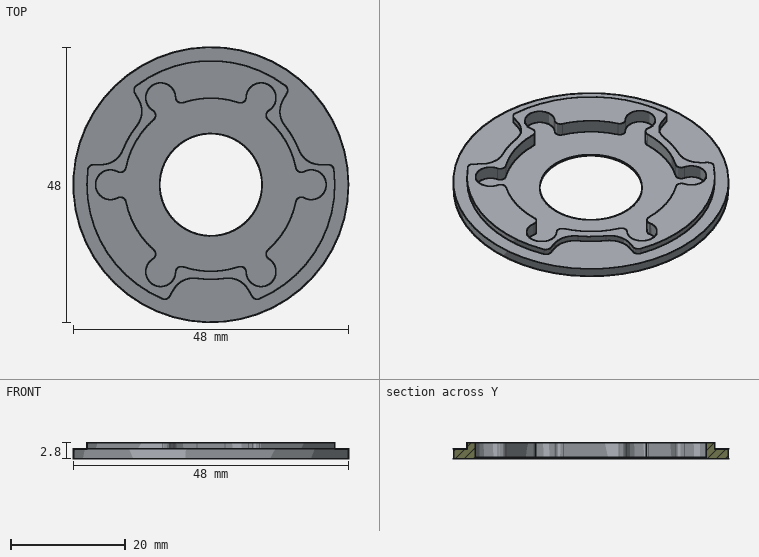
import cadquery as cq
import math

total_height = 2.8
rim_step = 1.1
base_height = total_height - rim_step
floor_thickness = 0.3
pocket_depth = total_height - floor_thickness

base_diameter = 48.0
base_radius = base_diameter / 2
bore_diameter = 17.8
bore_radius = bore_diameter / 2
plateau_radius = 21.6
pocket_radius = 15.1

lobe_count = 6
lobe_pitch = 360.0 / lobe_count
lobe_radius = 2.6
lobe_centre_radius = 17.5
neck_fillet = 1.0

recess_angles = (30.0, 150.0, 270.0)
recess_inner_radius = 16.5
recess_side_offset = 3.5
recess_corner_fillet = 4.0
plateau_tip_fillet = 1.0


def upright_edges_at(body, radius):
    """Vertical edges of the body that lie at the given distance from the part axis."""
    tolerance = 0.01

    def lies_at_radius(edge):
        centre = edge.Center()
        return abs(math.hypot(centre.x, centre.y) - radius) < tolerance

    return body.edges("|Z").filter(lies_at_radius)


def make_recess(angle):
    """Wedge with sides parallel to the adjacent lobe axes and a round inner wall."""
    half_angle = math.radians(lobe_pitch / 2)
    apex = recess_side_offset / math.sin(half_angle)
    reach = base_radius
    half_width = (reach - apex) * math.tan(half_angle)
    wedge = (
        cq.Workplane("XY")
        .workplane(offset=base_height)
        .polyline([(apex, 0), (reach, -half_width), (reach, half_width)])
        .close()
        .extrude(rim_step)
    )
    inner_core = cq.Workplane("XY").circle(recess_inner_radius).extrude(total_height)
    return wedge.cut(inner_core).rotate((0, 0, 0), (0, 0, 1), angle)


def make_plateau():
    """Raised disc with three rounded recesses open to its rim."""
    plateau = cq.Workplane("XY").workplane(offset=base_height).circle(plateau_radius).extrude(rim_step)
    for angle in recess_angles:
        plateau = plateau.cut(make_recess(angle))
    plateau = upright_edges_at(plateau, recess_inner_radius).fillet(recess_corner_fillet)
    seam_clearance = 1.0
    tips = upright_edges_at(plateau, plateau_radius).filter(lambda edge: abs(edge.Center().y) > seam_clearance)
    return tips.fillet(plateau_tip_fillet)


def make_pocket():
    """Round pocket with six lobes and rounded necks."""
    floor = cq.Workplane("XY").workplane(offset=floor_thickness)
    lobes = floor.polarArray(lobe_centre_radius, 0, 360, lobe_count).circle(lobe_radius).extrude(pocket_depth)
    pocket = floor.circle(pocket_radius).extrude(pocket_depth).union(lobes)
    return upright_edges_at(pocket, pocket_radius).fillet(neck_fillet)


base = cq.Workplane("XY").circle(base_radius).extrude(base_height)
bore = cq.Workplane("XY").circle(bore_radius).extrude(total_height)
result = base.union(make_plateau()).cut(make_pocket()).cut(bore)